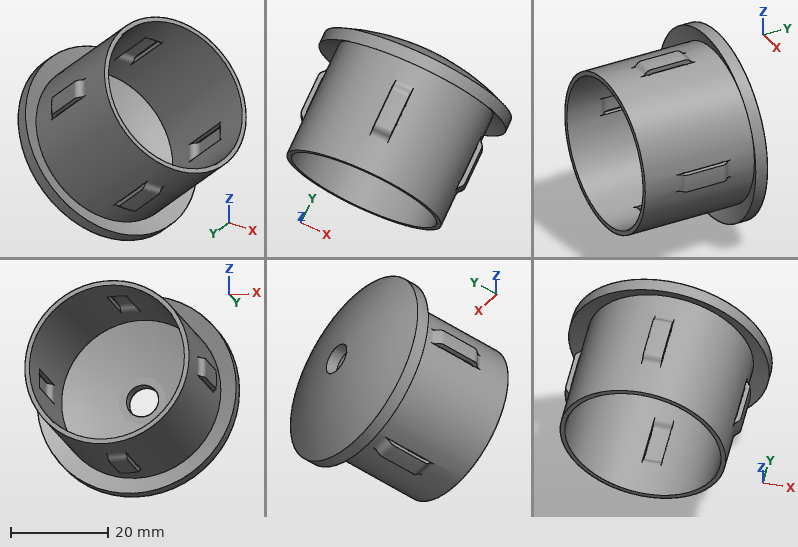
import cadquery as cq
import math


head_diameter = 42.4
head_thickness = 2.5
dome_radius = 50.0
overall_length = 31.21
bore_diameter = 6.8
land_diameter = 10.0

sleeve_outer_diameter = 35.0
wall = 1.0

tab_count = 4
tab_width = 4.0
tab_crest_length = 8.0
tab_rise = 1.1
tab_bend_radius = 1.5
tab_bend_angle = math.radians(45)
tab_center_y = 13.65

tab_spacing = 360 / tab_count
head_radius = head_diameter / 2
bore_radius = bore_diameter / 2
land_radius = land_diameter / 2
sleeve_outer_radius = sleeve_outer_diameter / 2
sleeve_inner_radius = sleeve_outer_radius - wall
inner_dome_radius = dome_radius - head_thickness


def sphere_height(sphere_radius, distance):
    """Height of a sphere above its centre at a distance from its axis."""
    return math.sqrt(sphere_radius**2 - distance**2)


dome_center_y = overall_length - sphere_height(dome_radius, bore_radius)


def dome_point(sphere_radius, distance):
    """Point (radius, Y) on a head surface at a distance from the cap axis."""
    return (distance, dome_center_y + sphere_height(sphere_radius, distance))


def turn_about_axis(body, angle):
    """Turn a body around the Y axis."""
    return body.rotate((0, 0, 0), (0, 1, 0), angle)


def revolve_about_axis(profile):
    """Revolve a closed (radius, Y) profile around the Y axis."""
    return profile.revolve(360, (0, 0, 0), (0, 1, 0))


def make_head():
    """Spherical shell with a cylindrical rim, a central bore and a flat land around it."""
    land_edge = dome_point(inner_dome_radius, land_radius)
    inner_middle = dome_point(inner_dome_radius, (land_radius + head_radius) / 2)
    outer_middle = dome_point(dome_radius, (bore_radius + head_radius) / 2)
    profile = (
        cq.Workplane("XY")
        .moveTo(bore_radius, land_edge[1])
        .lineTo(*land_edge)
        .threePointArc(inner_middle, dome_point(inner_dome_radius, head_radius))
        .lineTo(*dome_point(dome_radius, head_radius))
        .threePointArc(outer_middle, dome_point(dome_radius, bore_radius))
        .close()
    )
    return revolve_about_axis(profile)


def make_sleeve():
    """Thin tube whose closed end is buried in the head."""
    inner_end = dome_point(inner_dome_radius, sleeve_inner_radius)
    outer_end = (sleeve_outer_radius, inner_end[1])
    profile = (
        cq.Workplane("XY")
        .moveTo(sleeve_inner_radius, 0)
        .lineTo(sleeve_outer_radius, 0)
        .lineTo(*outer_end)
        .lineTo(*inner_end)
        .close()
    )
    return revolve_about_axis(profile)


bend_rise = tab_bend_radius * (1 - math.cos(tab_bend_angle))
ramp_rise = tab_rise - 2 * bend_rise
ramp_run = ramp_rise / math.tan(tab_bend_angle)
bend_run = tab_bend_radius * math.sin(tab_bend_angle)
crest_half = tab_crest_length / 2
tab_half_length = crest_half + 2 * bend_run + ramp_run

underside_shift = wall * math.tan(tab_bend_angle / 2)


def tab_face_points(base_radius, shift, side):
    """Points (radius, Y) of one tab end on one face, from the foot up to the crest.

    base_radius is the radius of the face at the foot, shift moves the bend
    towards the tab centre and side (-1 or 1) picks the end of the tab.
    """
    foot_center_radius = base_radius + tab_bend_radius
    crest_center_radius = base_radius + tab_rise - tab_bend_radius

    def foot_point(angle):
        along = tab_half_length - shift - tab_bend_radius * math.sin(angle)
        radius = foot_center_radius - tab_bend_radius * math.cos(angle)
        return (radius, tab_center_y + side * along)

    def crest_point(angle):
        along = crest_half - shift + tab_bend_radius * math.sin(angle)
        radius = crest_center_radius + tab_bend_radius * math.cos(angle)
        return (radius, tab_center_y + side * along)

    half_angle = tab_bend_angle / 2
    return [
        foot_point(0),
        foot_point(half_angle),
        foot_point(tab_bend_angle),
        crest_point(tab_bend_angle),
        crest_point(half_angle),
        crest_point(0),
    ]


def add_s_bend(profile, points):
    """Continue a profile through a straight run, an arc, a ramp and a second arc."""
    start, first_middle, first_end, second_start, second_middle, second_end = points
    return (
        profile.lineTo(*start)
        .threePointArc(first_middle, first_end)
        .lineTo(*second_start)
        .threePointArc(second_middle, second_end)
    )


def raised_block(face_radius, shift):
    """Block one tab wide on the +X side, from half a wall below a tab face up to that face."""
    start = tab_face_points(face_radius, shift, -1)
    end = tab_face_points(face_radius, shift, 1)
    base_radius = face_radius - wall / 2
    foot_start_y = start[0][1]
    foot_end_y = end[0][1]

    profile = cq.Workplane("XY").moveTo(base_radius, foot_start_y)
    profile = add_s_bend(profile, start)
    profile = add_s_bend(profile, end[::-1])
    profile = profile.lineTo(base_radius, foot_end_y)

    strip = cq.Workplane("XY").box(
        head_diameter, overall_length, tab_width, centered=(False, False, True)
    )
    return revolve_about_axis(profile.close()).intersect(strip)


def add_tabs(sleeve):
    """Raise the tabs on the sleeve and hollow them from inside, which opens their long sides."""
    bump = raised_block(sleeve_outer_radius, 0)
    hollow = raised_block(sleeve_inner_radius, underside_shift)
    for index in range(tab_count):
        sleeve = sleeve.union(turn_about_axis(bump, index * tab_spacing))
        sleeve = sleeve.cut(turn_about_axis(hollow, index * tab_spacing))
    return sleeve


result = make_head().union(add_tabs(make_sleeve()))